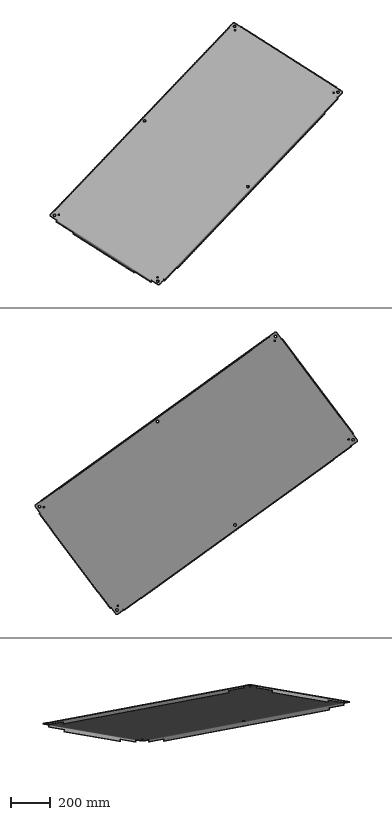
import cadquery as cq
import math

width = 703.0
length = 1522.0
height = 23.0

sheet = 3.0
bend_radius = 6.0

plate_inset_x = 2.0
plate_inset_y = 5.0
corner_radius = 8.0

shallow_depth = 12.0
shallow_end_gap = 49.0
deep_end_gap = 157.0

mount_diameter = 12.6
mount_inset_x = 21.0
mount_inset_y = 21.0
pilot_diameter = 7.2
pilot_inset_x = 37.0
pilot_inset_y = 38.0


def flat_plate():
    plate = cq.Workplane("XY").box(
        width - 2 * plate_inset_x, length - 2 * plate_inset_y, sheet, centered=(True, True, False)
    )
    return plate.edges("|Z").fillet(corner_radius).translate((0, 0, height - sheet))


def bent_strip(edge, depth, strip_length):
    """Strip along Y that curves down from the plate, with its outer face at X = edge."""
    inner_radius = bend_radius - sheet
    slant = math.cos(math.radians(45))
    centre_x = edge - bend_radius
    centre_z = height - bend_radius
    return (
        cq.Workplane("XZ")
        .moveTo(centre_x, height)
        .threePointArc(
            (centre_x + bend_radius * slant, centre_z + bend_radius * slant), (edge, centre_z)
        )
        .lineTo(edge, height - depth)
        .lineTo(edge - sheet, height - depth)
        .lineTo(edge - sheet, centre_z)
        .threePointArc(
            (centre_x + inner_radius * slant, centre_z + inner_radius * slant),
            (centre_x, height - sheet),
        )
        .close()
        .extrude(strip_length / 2, both=True)
    )


def flange(edge, side_length):
    shallow = bent_strip(edge, shallow_depth, side_length - 2 * shallow_end_gap)
    deep = bent_strip(edge, height, side_length - 2 * deep_end_gap)
    return shallow.union(deep)


def bend_clearance(edge, side_length):
    """Block that clears the flat sheet where the bend takes its place."""
    return (
        cq.Workplane("XY")
        .box(bend_radius, side_length - 2 * shallow_end_gap, height, centered=(False, True, False))
        .translate((edge - bend_radius, 0, 0))
    )


def hole_cutters(points, diameter):
    return cq.Workplane("XY").pushPoints(points).circle(diameter / 2).extrude(height)


result = flat_plate()

for turn, edge, side_length in (
    (0, width / 2, length),
    (90, length / 2, width),
    (180, width / 2, length),
    (270, length / 2, width),
):
    clearance = bend_clearance(edge, side_length).rotate((0, 0, 0), (0, 0, 1), turn)
    side_flange = flange(edge, side_length).rotate((0, 0, 0), (0, 0, 1), turn)
    result = result.cut(clearance).union(side_flange)

mount_x = width / 2 - mount_inset_x
mount_y = length / 2 - mount_inset_y
pilot_x = width / 2 - pilot_inset_x
pilot_y = length / 2 - pilot_inset_y
mount_points = [(x, y) for x in (-mount_x, mount_x) for y in (-mount_y, 0, mount_y)]
pilot_points = [(x, y) for x in (-pilot_x, pilot_x) for y in (-pilot_y, pilot_y)]
result = result.cut(hole_cutters(mount_points, mount_diameter))
result = result.cut(hole_cutters(pilot_points, pilot_diameter))